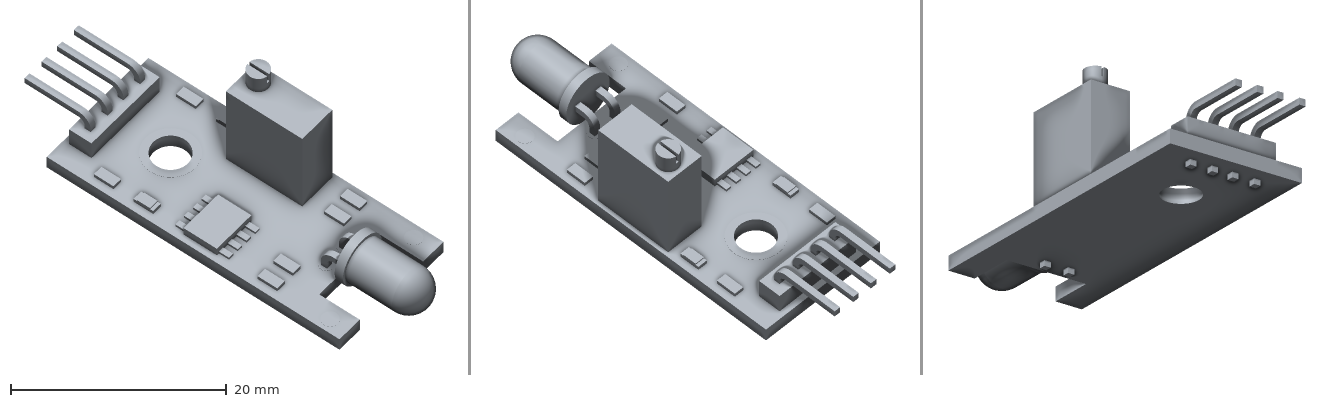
import cadquery as cq


board_left = 5.45
board_width = 15.1
board_thickness = 1.53
rear_arm_end = 40.45
front_arm_end = 40.2
fork_gap_left = 35.4
fork_gap_width = 9.05
mounting_hole_x = 14.1
mounting_hole_diameter = 4.1

pad_thickness = 0.022
hole_ring_diameter = 5.85
arm_pad_diameter = 1.8
arm_pad_x = 38.0
arm_pad_y = 6.2

wire_width = 0.7
bend_radius = 1.15
stub_length = 0.6

header_left = 6.1
header_length = 2.65
header_width = 10.1
header_height = 2.15
pin_x = 7.5
pin_axis_z = 5.2
pin_ys = (3.65, 1.15, -1.15, -3.7)

led_diameter = 5.05
flange_diameter = 5.75
flange_left = 35.88
flange_thickness = 1.0
led_tip = 44.9
led_axis_z = 3.4
lead_x = 33.68
lead_pitch = 2.7
lead_pad_diameter = 1.53

trimmer_left = 18.55
trimmer_length = 9.05
trimmer_rear = 7.1
trimmer_width = 4.45
trimmer_height = 9.95
screw_x = 20.2
screw_y = 5.4
screw_diameter = 2.4
screw_height = 1.95
screw_slot_width = 0.3
screw_slot_depth = 1.0

chip_x = 23.1
chip_y = -4.25
chip_length = 3.95
chip_width = 5.1
chip_height = 0.95
leg_span = 6.38
leg_width = 0.65
leg_height = 0.25
leg_pitch = 1.3
legs_per_side = 4

small_chip_length = 2.35
small_chip_width = 1.12
small_chip_height = 0.4
raised_length = 1.55
raised_height = 0.55
left_column_x = 11.5
middle_column_x = 16.2
right_column_x = 30.95
outer_row_y = 6.1
inner_row_y = 3.75


def block(left, center_y, length, width, height):
    """Box standing on the board top, placed by its left face and its Y center."""
    box = cq.Workplane("XY").box(length, width, height, centered=(False, True, False))
    return box.translate((left, center_y, board_thickness))


def centered_block(x, y, length, width, height):
    return block(x - length / 2, y, length, width, height)


def pad(x, y, diameter):
    disc = cq.Workplane("XY").circle(diameter / 2).extrude(pad_thickness)
    return disc.translate((x, y, board_thickness))


def bent_wire(x, y, axis_z, end_x):
    """Square wire rising through the board at x, then bending level toward end_x."""
    direction = 1 if end_x > x else -1
    path = (
        cq.Workplane("XZ", origin=(0, y, 0))
        .moveTo(x, -stub_length)
        .lineTo(x, axis_z - bend_radius)
        .tangentArcPoint((x + direction * bend_radius, axis_z), relative=False)
        .lineTo(end_x, axis_z)
    )
    section = cq.Workplane("XY", origin=(x, y, -stub_length)).rect(wire_width, wire_width)
    return section.sweep(path)


def make_board():
    half_width = board_width / 2
    half_gap = fork_gap_width / 2
    outline = [
        (board_left, -half_width),
        (front_arm_end, -half_width),
        (front_arm_end, -half_gap),
        (fork_gap_left, -half_gap),
        (fork_gap_left, half_gap),
        (rear_arm_end, half_gap),
        (rear_arm_end, half_width),
        (board_left, half_width),
    ]
    board = cq.Workplane("XY").polyline(outline).close().extrude(board_thickness)
    board = board.union(pad(mounting_hole_x, 0, hole_ring_diameter))
    for y in (arm_pad_y, -arm_pad_y):
        board = board.union(pad(arm_pad_x, y, arm_pad_diameter))
    hole_height = board_thickness + pad_thickness
    hole = cq.Workplane("XY").circle(mounting_hole_diameter / 2).extrude(hole_height)
    return board.cut(hole.translate((mounting_hole_x, 0, 0)))


def make_header():
    header = block(header_left, 0, header_length, header_width, header_height)
    for y in pin_ys:
        header = header.union(bent_wire(pin_x, y, pin_axis_z, 0))
    return header


def make_led():
    radius = led_diameter / 2
    flange_radius = flange_diameter / 2
    flange_right = flange_left + flange_thickness
    half_profile = (
        cq.Workplane("XY")
        .moveTo(flange_left, 0)
        .lineTo(flange_left, flange_radius)
        .lineTo(flange_right, flange_radius)
        .lineTo(flange_right, radius)
        .lineTo(led_tip - radius, radius)
        .tangentArcPoint((led_tip, 0), relative=False)
        .close()
    )
    led = half_profile.revolve(360, (0, 0, 0), (1, 0, 0)).translate((0, 0, led_axis_z))
    for y in (lead_pitch / 2, -lead_pitch / 2):
        led = led.union(bent_wire(lead_x, y, led_axis_z, flange_right))
        led = led.union(pad(lead_x, y, lead_pad_diameter))
    return led


def make_trimmer():
    center_y = trimmer_rear - trimmer_width / 2
    body = block(trimmer_left, center_y, trimmer_length, trimmer_width, trimmer_height)
    body_top = board_thickness + trimmer_height
    screw = cq.Workplane("XY").circle(screw_diameter / 2).extrude(screw_height)
    slot = (
        cq.Workplane("XY", origin=(0, 0, screw_height - screw_slot_depth))
        .rect(screw_diameter, screw_slot_width)
        .extrude(screw_slot_depth)
    )
    return body.union(screw.cut(slot).translate((screw_x, screw_y, body_top)))


def make_chip():
    chip = centered_block(chip_x, chip_y, chip_length, chip_width, chip_height)
    for index in range(legs_per_side):
        y = chip_y + (index - (legs_per_side - 1) / 2) * leg_pitch
        chip = chip.union(centered_block(chip_x, y, leg_span, leg_width, leg_height))
    return chip


def small_chip(x, y):
    return centered_block(x, y, small_chip_length, small_chip_width, small_chip_height)


def raised_small_chip(x, y):
    middle = centered_block(x, y, raised_length, small_chip_width, raised_height)
    return small_chip(x, y).union(middle)


result = make_board()
for component in (make_header(), make_led(), make_trimmer(), make_chip()):
    result = result.union(component)
for side in (1, -1):
    result = result.union(small_chip(left_column_x, side * outer_row_y))
    result = result.union(raised_small_chip(middle_column_x, side * outer_row_y))
    result = result.union(small_chip(right_column_x, side * outer_row_y))
    result = result.union(small_chip(right_column_x, side * inner_row_y))